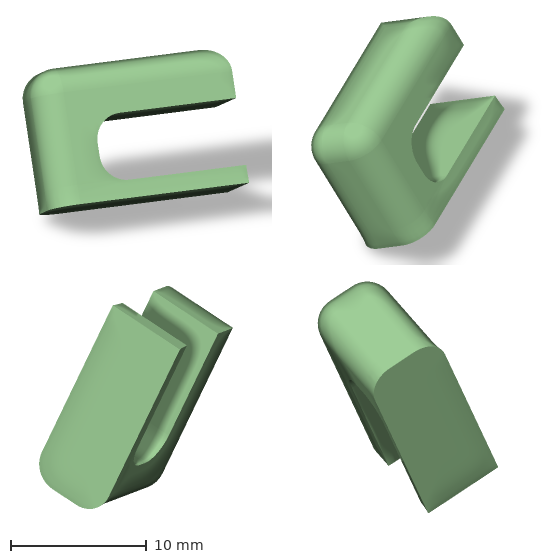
import cadquery as cq
import math

depth = 15.0
width = 6.0
height = 10.36
edge_radius = 2.0
tilt = 30.0
flare_height = 1.45
flare_reach = 0.12
slot_floor = 1.35
slot_opening = 5.0
slot_depth = 11.0
slot_radius = 2.0

half_width = width / 2
foot_half_width = half_width + flare_reach

flare_radius = (flare_height**2 + flare_reach**2) / (2 * flare_reach)
half_flare_angle = math.asin(flare_height / flare_radius) / 2
flare_mid_half_width = half_width + flare_radius * (1 - math.cos(half_flare_angle))
flare_mid_height = flare_height - flare_radius * math.sin(half_flare_angle)


def make_body():
    """Upright body running along Y, with rounded top edges and flared foot."""
    return (
        cq.Workplane("XZ")
        .moveTo(-foot_half_width, 0)
        .lineTo(foot_half_width, 0)
        .threePointArc((flare_mid_half_width, flare_mid_height), (half_width, flare_height))
        .lineTo(half_width, height - edge_radius)
        .radiusArc((half_width - edge_radius, height), -edge_radius)
        .lineTo(edge_radius - half_width, height)
        .radiusArc((-half_width, height - edge_radius), -edge_radius)
        .lineTo(-half_width, flare_height)
        .threePointArc((-flare_mid_half_width, flare_mid_height), (-foot_half_width, 0))
        .close()
        .extrude(-depth)
    )


def round_front(body):
    """Round the edges all around the -Y face, except along the foot."""
    return body.faces("<Y").edges("not <Z").fillet(edge_radius)


def round_back_top(body):
    """Round the top of the +Y end straight across, mitred with the rounded side edges."""
    sweep = (
        cq.Workplane("YZ")
        .rect(depth, height, centered=False)
        .extrude(foot_half_width, both=True)
        .edges("|X and >Y and >Z")
        .fillet(edge_radius)
    )
    return body.intersect(sweep)


def cut_slot(body):
    """Cut the slot across the full width, open at the +Y end."""
    slot = (
        cq.Workplane("YZ")
        .moveTo(depth - slot_depth, slot_floor)
        .rect(slot_depth, slot_opening, centered=False)
        .extrude(foot_half_width, both=True)
        .edges("|X and <Y")
        .fillet(slot_radius)
    )
    return body.cut(slot)


upright = cut_slot(round_back_top(round_front(make_body())))
result = upright.rotate((0, 0, 0), (0, 1, 0), -tilt)